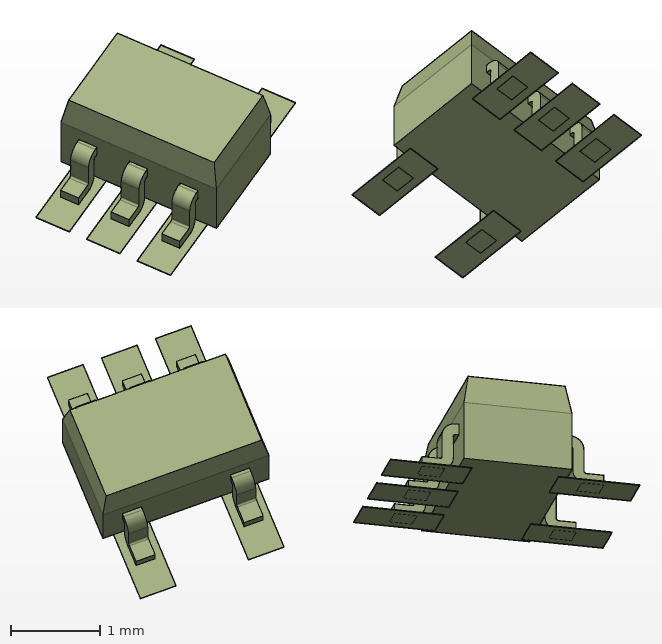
import cadquery as cq


BODY_LENGTH = 2.0
BODY_WIDTH = 1.25
TOP_HEIGHT = 1.1
STANDOFF = 0.05
TAPER_START = 0.74
TAPER_ANGLE = 10.2

LEAD_PITCH = 0.65
LEAD_WIDTH = 0.23
LEAD_THICKNESS = 0.13
LEAD_TOP = 0.575
LEAD_SPAN = 2.1
SHANK_SPAN = 1.64
INNER_BEND_RADIUS = 0.026
LEAD_EMBED = 0.1

PAD_WIDTH = 0.43
PAD_LENGTH = 0.94
PAD_THICKNESS = 0.01
PAD_SPAN = 2.88

FRONT_LEADS = (-LEAD_PITCH, 0, LEAD_PITCH)
BACK_LEADS = (-LEAD_PITCH, LEAD_PITCH)


def make_body():
    """Straight lower block with a tapered upper part."""
    lower = (
        cq.Workplane("XY")
        .workplane(offset=STANDOFF)
        .rect(BODY_LENGTH, BODY_WIDTH)
        .extrude(TAPER_START - STANDOFF)
    )
    upper = (
        cq.Workplane("XY")
        .workplane(offset=TAPER_START)
        .rect(BODY_LENGTH, BODY_WIDTH)
        .extrude(TOP_HEIGHT - TAPER_START, taper=TAPER_ANGLE)
    )
    return lower.union(upper)


def make_lead():
    """Gull-wing lead at X = 0 on the +Y side, bent from a constant-thickness strip."""
    root_y = BODY_WIDTH / 2 - LEAD_EMBED
    toe_y = LEAD_SPAN / 2
    shank_outer_y = SHANK_SPAN / 2
    shank_inner_y = shank_outer_y - LEAD_THICKNESS
    arm_bottom = LEAD_TOP - LEAD_THICKNESS
    outer_bend_radius = INNER_BEND_RADIUS + LEAD_THICKNESS

    strip = (
        cq.Workplane("YZ")
        .moveTo(root_y, LEAD_TOP)
        .lineTo(shank_outer_y, LEAD_TOP)
        .lineTo(shank_outer_y, LEAD_THICKNESS)
        .lineTo(toe_y, LEAD_THICKNESS)
        .lineTo(toe_y, 0)
        .lineTo(shank_inner_y, 0)
        .lineTo(shank_inner_y, arm_bottom)
        .lineTo(root_y, arm_bottom)
        .close()
        .extrude(LEAD_WIDTH / 2, both=True)
    )
    outer_corners = ((shank_outer_y, LEAD_TOP), (shank_inner_y, 0))
    inner_corners = ((shank_outer_y, LEAD_THICKNESS), (shank_inner_y, arm_bottom))
    for corners, radius in ((outer_corners, outer_bend_radius), (inner_corners, INNER_BEND_RADIUS)):
        for y, z in corners:
            corner_edge = cq.selectors.NearestToPointSelector((0, y, z))
            strip = strip.edges("|X").edges(corner_edge).fillet(radius)
    return strip


def make_pad():
    """Thin solder pad at X = 0 on the +Y side."""
    pad_center_y = (PAD_SPAN - PAD_LENGTH) / 2
    return (
        cq.Workplane("XY")
        .center(0, pad_center_y)
        .rect(PAD_WIDTH, PAD_LENGTH)
        .extrude(PAD_THICKNESS)
    )


def make_package():
    """Body joined with a lead and pad at every lead position."""
    back_terminal = make_lead().union(make_pad())
    front_terminal = back_terminal.mirror("XZ")
    package = make_body()
    for terminal, positions in ((back_terminal, BACK_LEADS), (front_terminal, FRONT_LEADS)):
        for x in positions:
            package = package.union(terminal.translate((x, 0, 0)))
    return package


result = make_package()